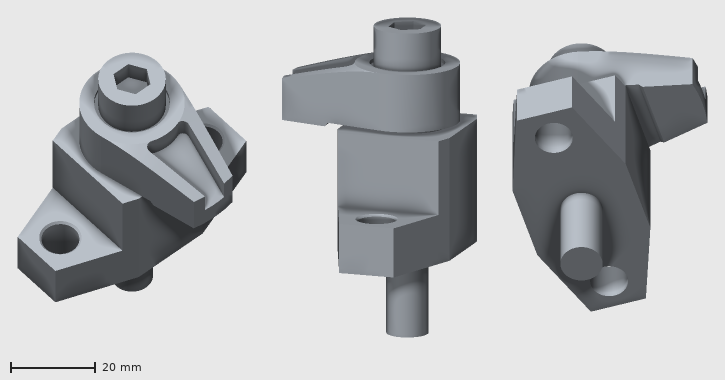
import cadquery as cq
import math

base_bottom = 21.0
ear_top = 33.0
base_top = 51.0
lever_bottom = 52.0
lever_top = 66.0
screw_top = 75.0

base_half_width = 14.0
block_half_length = 13.95
base_half_length = 30.0
ear_end_half_width = 6.8
side_flat_half_length = 10.05
ear_hole_offset = 22.5
ear_hole_radius = 4.5
ear_hole_chamfer = 0.5

shank_radius = 5.0
head_radius = 8.0
head_height = 10.0
hex_across_flats = 8.0
hex_depth = 5.0

hub_radius = 12.5
boss_radius = 10.0
recess_radius = 9.0
arm_reach = 30.0
arm_taper = math.radians(13.0)
arm_tip_top = 61.1
heel_start = 16.9
pocket_taper = math.radians(11.0)
pocket_half_width = 6.4
pocket_corner_radius = 1.5
pocket_floor_at_hub = 61.0
pocket_floor_at_tip = 55.9

head_bottom = screw_top - head_height
cut_margin = 3.75


def cylinder(radius, bottom, top):
    """Upright cylinder on the screw axis."""
    return cq.Workplane("XY").workplane(offset=bottom).circle(radius).extrude(top - bottom)


def make_base():
    """Block with a tapered ear at each end, drilled for the screw."""
    outline = [
        (base_half_width, -side_flat_half_length),
        (base_half_width, side_flat_half_length),
        (ear_end_half_width, base_half_length),
        (-ear_end_half_width, base_half_length),
        (-base_half_width, side_flat_half_length),
        (-base_half_width, -side_flat_half_length),
        (-ear_end_half_width, -base_half_length),
        (ear_end_half_width, -base_half_length),
    ]
    plate = cq.Workplane("XY").workplane(offset=base_bottom).polyline(outline).close()
    base = plate.extrude(base_top - base_bottom)

    ear_length = base_half_length - block_half_length
    for side in (-1, 1):
        ear_center = side * (base_half_length + block_half_length) / 2
        above_ear = (
            cq.Workplane("XY").workplane(offset=ear_top).center(0, ear_center)
            .rect(2 * base_half_width, ear_length).extrude(base_top - ear_top)
        )
        base = base.cut(above_ear)

    for side in (-1, 1):
        drill_profile = [
            (0, base_bottom),
            (ear_hole_radius, base_bottom),
            (ear_hole_radius, ear_top - ear_hole_chamfer),
            (ear_hole_radius + ear_hole_chamfer, ear_top),
            (0, ear_top),
        ]
        drill = cq.Workplane("XZ").polyline(drill_profile).close().revolve(360, (0, 0), (0, 1))
        base = base.cut(drill.translate((0, side * ear_hole_offset, 0)))

    return base.cut(cylinder(shank_radius, base_bottom, base_top))


def make_arm():
    """Arm tangent to the hub, with a conical top, a round tip and a heel underneath."""
    tangent_x = hub_radius * math.sin(arm_taper)
    tangent_y = hub_radius * math.cos(arm_taper)
    along_flank = math.sqrt(arm_reach**2 - hub_radius**2)
    tip_x = tangent_x + along_flank * math.cos(arm_taper)
    tip_y = tangent_y - along_flank * math.sin(arm_taper)
    arm = (
        cq.Workplane("XY").workplane(offset=base_top)
        .moveTo(tangent_x, tangent_y).lineTo(tip_x, tip_y)
        .threePointArc((arm_reach, 0), (tip_x, -tip_y))
        .lineTo(tangent_x, -tangent_y).close().extrude(lever_top - base_top)
    )

    cone_profile = [
        (0, base_top),
        (arm_reach, base_top),
        (arm_reach, arm_tip_top),
        (hub_radius, lever_top),
        (0, lever_top),
    ]
    arm = arm.intersect(cq.Workplane("XZ").polyline(cone_profile).close().revolve(360, (0, 0), (0, 1)))

    heel_height = lever_bottom - base_top
    clearance_profile = [
        (0, base_top),
        (heel_start + heel_height, base_top),
        (heel_start, lever_bottom),
        (0, lever_bottom),
    ]
    clearance = cq.Workplane("XZ").polyline(clearance_profile).close().extrude(hub_radius, both=True)
    return arm.cut(clearance)


def make_pocket():
    """Open-ended tapered pocket with a sloping floor, bounded by the hub."""
    outer_x = arm_reach + cut_margin
    outer_half_width = pocket_half_width - (outer_x - hub_radius) * math.tan(pocket_taper)
    inner_half_width = pocket_half_width + hub_radius * math.tan(pocket_taper)
    floor_slope = (pocket_floor_at_hub - pocket_floor_at_tip) / (arm_reach - hub_radius)
    plan = (
        cq.Workplane("XY").workplane(offset=base_top)
        .polyline([
            (0, -inner_half_width),
            (outer_x, -outer_half_width),
            (outer_x, outer_half_width),
            (0, inner_half_width),
        ]).close().extrude(screw_top - base_top)
        .cut(cylinder(hub_radius, base_top, screw_top))
    )
    plan = plan.solids(">X").edges("|Z and <X").fillet(pocket_corner_radius)
    floor_profile = [
        (0, pocket_floor_at_hub + hub_radius * floor_slope),
        (outer_x, pocket_floor_at_tip - cut_margin * floor_slope),
        (outer_x, screw_top),
        (0, screw_top),
    ]
    above_floor = cq.Workplane("XZ").polyline(floor_profile).close().extrude(hub_radius, both=True)
    return plan.intersect(above_floor)


def make_lever():
    """Hub on a low boss, with the pocketed arm and a recess for the screw head."""
    lever = cylinder(hub_radius, lever_bottom, lever_top).union(make_arm()).cut(make_pocket())
    lever = lever.union(cylinder(boss_radius, base_top, lever_bottom))
    lever = lever.cut(cylinder(shank_radius, base_top, lever_top))
    return lever.cut(cylinder(recess_radius, head_bottom, lever_top))


def make_screw():
    """Socket head screw; the hexagon has corners on the Y axis."""
    screw = cylinder(shank_radius, 0, head_bottom).union(cylinder(head_radius, head_bottom, screw_top))
    hex_across_corners = hex_across_flats / math.cos(math.radians(30))
    socket = (
        cq.Workplane("XY").workplane(offset=screw_top - hex_depth)
        .transformed(rotate=(0, 0, 90)).polygon(6, hex_across_corners).extrude(hex_depth)
    )
    return screw.cut(socket)


base = make_base()
lever = make_lever()
screw = make_screw()
result = cq.Compound.makeCompound([base.val(), lever.val(), screw.val()])